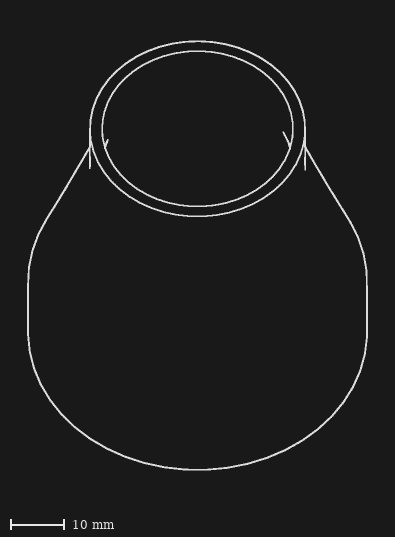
import cadquery as cq

total_height = 65.0
wide_diameter = 63.0
narrow_diameter = 40.0
wide_length = 16.0
narrow_length = 12.0
narrow_wall = 2.3
wide_wall = 3.6

narrow_start = total_height - narrow_length


def stepped_cone(wide_radius, narrow_radius):
    """Solid of revolution about Z: cylinder, cone, cylinder."""
    return (
        cq.Workplane("XZ")
        .moveTo(0, 0)
        .lineTo(wide_radius, 0)
        .lineTo(wide_radius, wide_length)
        .lineTo(narrow_radius, narrow_start)
        .lineTo(narrow_radius, total_height)
        .lineTo(0, total_height)
        .close()
        .revolve(360, (0, 0, 0), (0, 1, 0))
    )


outside = stepped_cone(wide_diameter / 2, narrow_diameter / 2)
bore = stepped_cone(wide_diameter / 2 - wide_wall, narrow_diameter / 2 - narrow_wall)

result = outside.cut(bore)